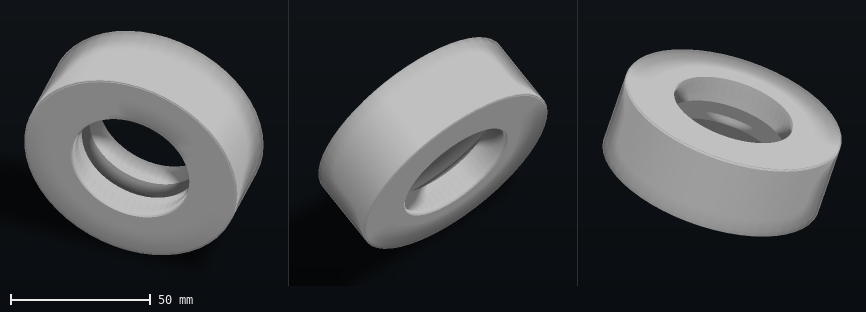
import cadquery as cq
import math

length = 28.6
mid_y = length / 2
bore_diameter = 44.45
bore_chamfer = 0.5
washer_diameter = 79.9
washer_face_diameter = 79.6
washer_rim_chamfer_length = 0.3
washer_thickness = 10.5

band_outer_diameter = 81.0
band_inner_diameter = washer_diameter
band_front_y = 0.2
band_back_y = length - 0.3
band_rim_chamfer_depth = 0.25
band_front_chamfer_length = 0.25
band_back_chamfer_length = 0.5

raceway_pitch_radius = 33.2
raceway_mouth_radius = 28.3
washer_gap = length - 2 * washer_thickness
raceway_section_radius = math.hypot(raceway_pitch_radius - raceway_mouth_radius, washer_gap / 2)


def hollow_cylinder(outer_diameter, inner_diameter, start_y, end_y):
    profile = cq.Workplane("XZ", origin=(0, start_y, 0)).circle(outer_diameter / 2).circle(inner_diameter / 2)
    return profile.extrude(start_y - end_y)


def chamfer_rim(body, end_face, axial_length, radial_depth):
    rim = body.faces(end_face).edges(cq.selectors.RadiusNthSelector(-1))
    return rim.chamfer(axial_length, radial_depth)


def raceway_cutter():
    torus = cq.Solid.makeTorus(
        raceway_pitch_radius, raceway_section_radius, cq.Vector(0, mid_y, 0), cq.Vector(0, 1, 0)
    )
    return cq.Workplane(torus)


def washer(start_y, outer_face):
    body = hollow_cylinder(washer_diameter, bore_diameter, start_y, start_y + washer_thickness)
    bore_edge = body.faces(outer_face).edges(cq.selectors.RadiusNthSelector(0))
    body = bore_edge.chamfer(bore_chamfer)
    body = chamfer_rim(body, outer_face, washer_rim_chamfer_length, (washer_diameter - washer_face_diameter) / 2)
    return body.cut(raceway_cutter())


def outer_band():
    body = hollow_cylinder(band_outer_diameter, band_inner_diameter, band_front_y, band_back_y)
    body = chamfer_rim(body, "<Y", band_front_chamfer_length, band_rim_chamfer_depth)
    return chamfer_rim(body, ">Y", band_back_chamfer_length, band_rim_chamfer_depth)


front_washer = washer(0, "<Y")
back_washer = washer(length - washer_thickness, ">Y")
band = outer_band()

result = cq.Compound.makeCompound([front_washer.val(), back_washer.val(), band.val()])